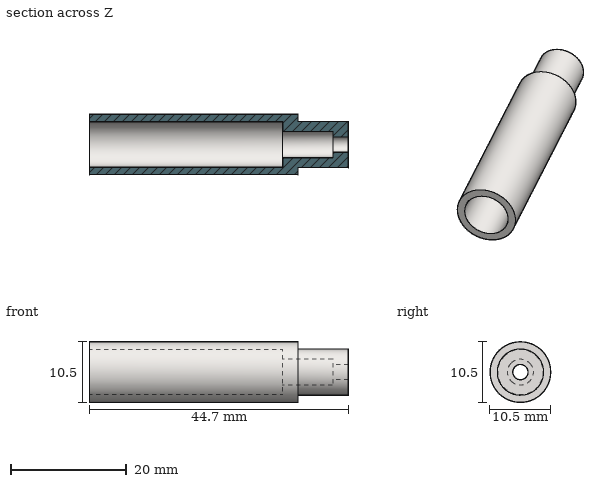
import cadquery as cq

total_length = 44.7
body_length = 36.0

body_diameter = 10.5
spigot_diameter = 8.0

main_bore_diameter = 7.8
middle_bore_diameter = 4.45
through_hole_diameter = 2.6
end_wall = 2.7
main_bore_depth = body_length - end_wall
middle_bore_depth = total_length - end_wall


def rod(diameter, length):
    """Solid cylinder on the X axis, starting at the open end of the body."""
    return cq.Workplane("YZ").circle(diameter / 2).extrude(length)


outside = rod(body_diameter, body_length).union(rod(spigot_diameter, total_length))

bores = (
    rod(main_bore_diameter, main_bore_depth)
    .union(rod(middle_bore_diameter, middle_bore_depth))
    .union(rod(through_hole_diameter, total_length))
)

result = outside.cut(bores).translate((-total_length / 2, 0, 0))